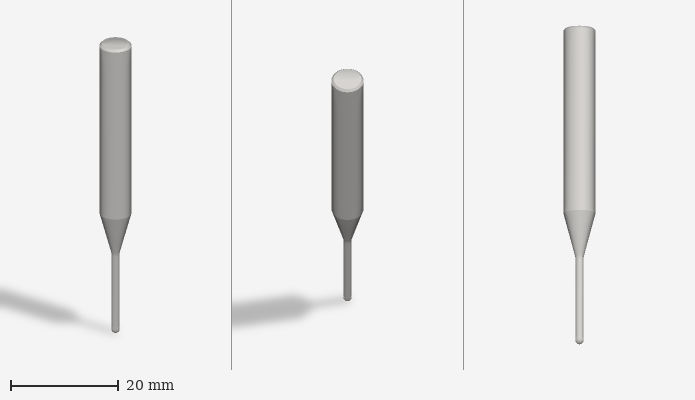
import cadquery as cq
import math

overall_length = 60.0

cutter_radius = 0.8
cutter_length = 1.2

neck_diameter = 1.5
neck_radius = neck_diameter / 2
neck_top_z = 16.15
blend_radius = 2.75
cone_half_angle = math.radians(15)

shank_radius = 3.0
shank_chamfer = 0.4


def revolve_about_z(profile):
    """Turn a closed XZ half-profile into a solid of revolution."""
    return profile.revolve(360, (0, 0, 0), (0, 1, 0))


def blend_point(angle):
    """Point on the neck-to-cone arc where its tangent leans by angle from the axis."""
    radius = neck_radius + blend_radius * (1 - math.cos(angle))
    height = neck_top_z + blend_radius * math.sin(angle)
    return radius, height


def make_cutter():
    """Cutting tip: a hemisphere below a short cylinder."""
    arc_offset = cutter_radius * math.sqrt(0.5)
    profile = (
        cq.Workplane("XZ")
        .moveTo(0, 0)
        .threePointArc((arc_offset, cutter_radius - arc_offset), (cutter_radius, cutter_radius))
        .lineTo(cutter_radius, cutter_length)
        .lineTo(0, cutter_length)
        .close()
    )
    return revolve_about_z(profile)


def make_holder():
    """Slim neck, blend, cone and chamfered shank, resting on the cutting tip."""
    cone_bottom = blend_point(cone_half_angle)
    cone_bottom_radius, cone_bottom_z = cone_bottom
    cone_top_z = cone_bottom_z + (shank_radius - cone_bottom_radius) / math.tan(cone_half_angle)
    profile = (
        cq.Workplane("XZ")
        .moveTo(0, cutter_length)
        .lineTo(neck_radius, cutter_length)
        .lineTo(neck_radius, neck_top_z)
        .threePointArc(blend_point(cone_half_angle / 2), cone_bottom)
        .lineTo(shank_radius, cone_top_z)
        .lineTo(shank_radius, overall_length - shank_chamfer)
        .lineTo(shank_radius - shank_chamfer, overall_length)
        .lineTo(0, overall_length)
        .close()
    )
    return revolve_about_z(profile)


cutter = make_cutter()
holder = make_holder()

result = cq.Compound.makeCompound([cutter.val(), holder.val()])